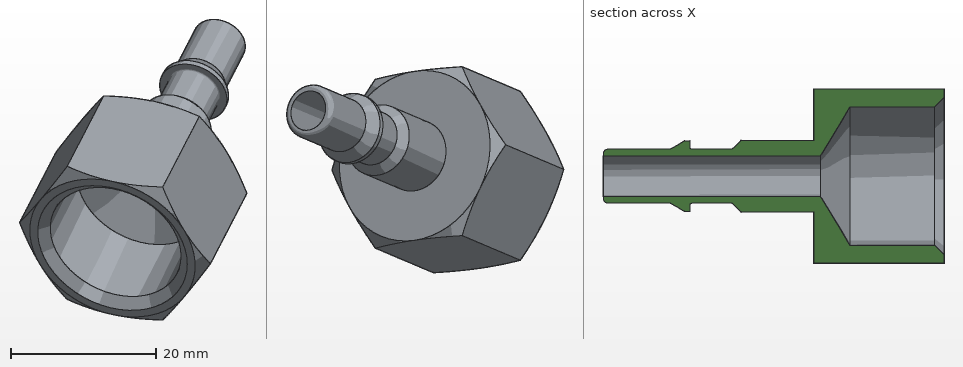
import cadquery as cq
import math

across_flats = 24.0
nut_length = 18.0
corner_angle = 30.0
corner_radius = across_flats / math.sqrt(3)
corner_chamfer = (corner_radius - across_flats / 2) * math.tan(math.radians(corner_angle))

total_length = 47.0
collar_radius = 5.0
collar_end = 28.0
neck_radius = 3.75
flange_radius = 4.9
flange_start = 35.0
flange_width = 0.8
flange_cone_end = 37.75
tip_round = 0.7
flange_root_round = 0.3

bore_radius = 9.5
bore_mouth_radius = 10.85
bore_depth = 13.0
drill_point_angle = 118.0
through_radius = 2.75
mouth_chamfer = bore_mouth_radius - bore_radius
point_depth = (bore_radius - through_radius) / math.tan(math.radians(drill_point_angle / 2))


def turned(profile):
    """Revolve (radius, y) points about the Y axis."""
    return cq.Workplane("XY").polyline(profile).close().revolve(360, (0, 0, 0), (0, 1, 0))


def make_nut():
    """Hexagonal prism, corners on X, with both ends chamfered by a cone."""
    prism = cq.Workplane("XZ").polygon(6, 2 * corner_radius).extrude(-nut_length)
    envelope = turned([
        (0, 0),
        (across_flats / 2, 0),
        (corner_radius, corner_chamfer),
        (corner_radius, nut_length - corner_chamfer),
        (across_flats / 2, nut_length),
        (0, nut_length),
    ])
    return prism.intersect(envelope)


def make_stem():
    """Collar, neck, retaining flange and rounded plug tip, rooted inside the nut."""
    collar_chamfer = collar_radius - neck_radius
    diagonal = math.sqrt(0.5)
    root_radius = neck_radius + flange_root_round
    root_start = flange_start - flange_root_round
    tip_start = total_length - tip_round
    tip_flat_radius = neck_radius - tip_round
    root_middle = (
        root_radius - flange_root_round * diagonal,
        root_start + flange_root_round * diagonal,
    )
    tip_middle = (
        tip_flat_radius + tip_round * diagonal,
        tip_start + tip_round * diagonal,
    )
    profile = (
        cq.Workplane("XY")
        .moveTo(0, bore_depth)
        .lineTo(collar_radius, bore_depth)
        .lineTo(collar_radius, collar_end)
        .lineTo(neck_radius, collar_end + collar_chamfer)
        .lineTo(neck_radius, root_start)
        .threePointArc(root_middle, (root_radius, flange_start))
        .lineTo(flange_radius, flange_start)
        .lineTo(flange_radius, flange_start + flange_width)
        .lineTo(neck_radius, flange_cone_end)
        .lineTo(neck_radius, tip_start)
        .threePointArc(tip_middle, (tip_flat_radius, total_length))
        .lineTo(0, total_length)
        .close()
    )
    return profile.revolve(360, (0, 0, 0), (0, 1, 0))


def make_bore():
    """Chamfered bore with a conical bottom leading into the through hole."""
    return turned([
        (0, 0),
        (bore_mouth_radius, 0),
        (bore_radius, mouth_chamfer),
        (bore_radius, bore_depth),
        (through_radius, bore_depth + point_depth),
        (through_radius, total_length),
        (0, total_length),
    ])


result = make_nut().union(make_stem()).cut(make_bore())